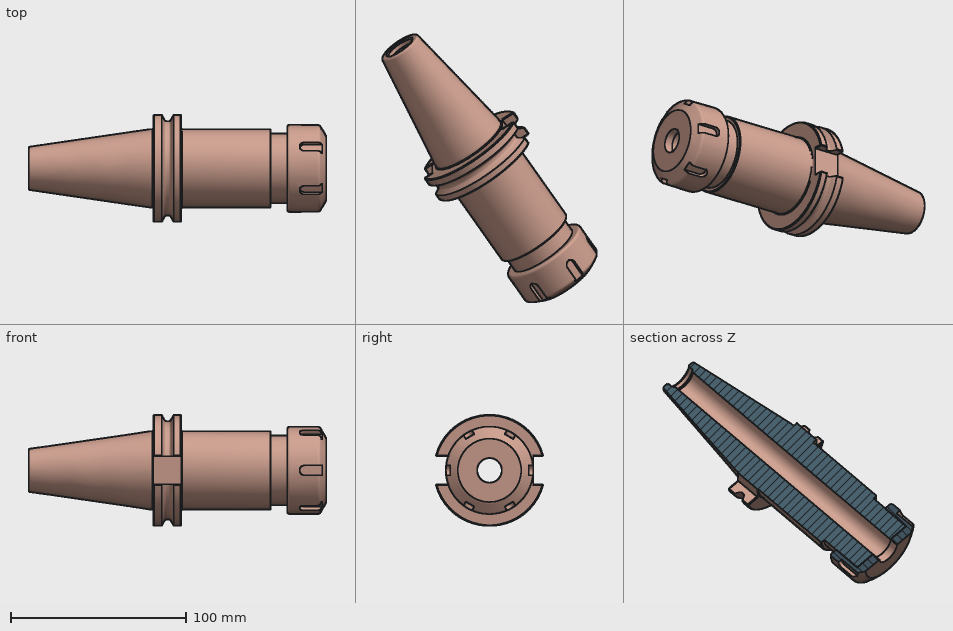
import cadquery as cq
import math

TAPER_LENGTH = 69.3
FLANGE_START = 71.2
FLANGE_WIDTH = 16.0
FLANGE_END = FLANGE_START + FLANGE_WIDTH
SHANK_END = 138.3
NUT_START = 147.5
NECK_END = 164.8
TOTAL_LENGTH = 169.9

TAPER_SMALL_RADIUS = 24.6 / 2
TAPER_LARGE_RADIUS = 44.8 / 2
TAPER_TIP_FILLET = 1.2

SHANK_RADIUS = 44.8 / 2
SHANK_CHAMFER = 0.5
NECK_RADIUS = 40.0 / 2

FLANGE_RADIUS = 63.5 / 2
FLANGE_CHAMFER = 0.5
FLANGE_ROOT_FILLET = 0.5
DRIVE_SLOT_WIDTH = 16.1
DEEP_SLOT_FLOOR = 22.8
SHALLOW_SLOT_FLOOR = 25.0
GROOVE_CENTER = 79.3
GROOVE_MOUTH = 7.0
GROOVE_FLOOR_RADIUS = 56.2 / 2
GROOVE_WALL_ANGLE = 30.0
GROOVE_FILLET = 1.2

BORE_RADIUS = 14.0 / 2
COUNTERBORE_RADIUS = 16.3 / 2
COUNTERBORE_DEPTH = 3.5
COUNTERBORE_CHAMFER = 0.8
BORE_CONE_RADIUS = 16.0 / 2
BORE_CONE_LENGTH = 1.5

NUT_RADIUS = 50.0 / 2
NUT_BACK_FILLET = 1.5
NUT_SHOULDER = 166.0
NUT_SHOULDER_FILLET = 2.0
NUT_CONE_END_RADIUS = 38.4 / 2
NUT_FACE_RADIUS = 36.2 / 2
NUT_RIM_WIDTH = 0.5
WRENCH_SLOT_COUNT = 6
WRENCH_SLOT_WIDTH = 5.6
WRENCH_SLOT_START = 154.5
WRENCH_SLOT_FLOOR = 22.3


def revolve_about_x(profile):
    """Turn a closed XY profile, given as a workplane wire, about the X axis."""
    return profile.revolve(360, (0, 0, 0), (1, 0, 0))


def disc(start, end, radius):
    """Solid cylinder on the X axis between two axial positions."""
    return cq.Workplane("YZ").workplane(offset=start).circle(radius).extrude(end - start)


def make_core():
    """Taper, shank and neck without the flange."""
    taper = revolve_about_x(
        cq.Workplane("XY").polyline([
            (0, 0),
            (0, TAPER_SMALL_RADIUS),
            (TAPER_LENGTH, TAPER_LARGE_RADIUS),
            (TAPER_LENGTH, 0),
        ]).close()
    ).faces("<X").edges().fillet(TAPER_TIP_FILLET)
    collar = disc(TAPER_LENGTH, FLANGE_START, TAPER_LARGE_RADIUS)
    shank = disc(FLANGE_START, SHANK_END, SHANK_RADIUS).faces(">X").edges().chamfer(SHANK_CHAMFER)
    neck = disc(SHANK_END, NECK_END, NECK_RADIUS)
    return taper.union(collar).union(shank).union(neck)


def make_drive_slot(side, floor):
    """Cutter for a drive slot; side is +1 for the +Y slot and -1 for the -Y slot."""
    depth = FLANGE_RADIUS
    flange_center = FLANGE_START + FLANGE_WIDTH / 2
    return (
        cq.Workplane("XY")
        .box(FLANGE_WIDTH, depth, DRIVE_SLOT_WIDTH)
        .translate((flange_center, side * (floor + depth / 2), 0))
    )


def make_groove():
    """Ring cutter for the V groove, with rounded floor corners."""
    depth = FLANGE_RADIUS - GROOVE_FLOOR_RADIUS
    half_mouth = GROOVE_MOUTH / 2
    half_floor = half_mouth - depth * math.tan(math.radians(GROOVE_WALL_ANGLE))
    ring = revolve_about_x(
        cq.Workplane("XY").polyline([
            (GROOVE_CENTER - half_mouth, FLANGE_RADIUS),
            (GROOVE_CENTER - half_floor, GROOVE_FLOOR_RADIUS),
            (GROOVE_CENTER + half_floor, GROOVE_FLOOR_RADIUS),
            (GROOVE_CENTER + half_mouth, FLANGE_RADIUS),
        ]).close()
    )
    floor_edges = cq.selectors.RadiusNthSelector(0)
    return ring.edges(floor_edges).fillet(GROOVE_FILLET)


def make_flange():
    """Disc with two chamfered drive slots and the V groove."""
    flange = disc(FLANGE_START, FLANGE_END, FLANGE_RADIUS)
    flange = flange.cut(make_drive_slot(1, SHALLOW_SLOT_FLOOR))
    flange = flange.cut(make_drive_slot(-1, DEEP_SLOT_FLOOR))
    flange = flange.edges().filter(is_exposed_flange_edge).chamfer(FLANGE_CHAMFER)
    return flange.cut(make_groove())


def is_exposed_flange_edge(edge):
    """True for the rim arcs and slot-wall edges, false for the edges of the slot floors."""
    ends = [edge.startPoint(), edge.endPoint()]
    return any(math.hypot(p.y, p.z) > FLANGE_RADIUS - FLANGE_CHAMFER for p in ends)


def make_root_fillet(face, outward, radius):
    """Ring filling the corner between a flange face and the round section next to it."""
    size = FLANGE_ROOT_FILLET
    bend = size * (1 - math.sqrt(0.5))
    return revolve_about_x(
        cq.Workplane("XY")
        .moveTo(face, radius - size)
        .lineTo(face, radius + size)
        .threePointArc((face + outward * bend, radius + bend), (face + outward * size, radius))
        .lineTo(face + outward * size, radius - size)
        .close()
    )


def make_bore():
    """Stepped through-bore cutter, widest at the taper tip."""
    cone_end = COUNTERBORE_DEPTH + BORE_CONE_LENGTH
    return revolve_about_x(
        cq.Workplane("XY").polyline([
            (0, 0),
            (0, COUNTERBORE_RADIUS + COUNTERBORE_CHAMFER),
            (COUNTERBORE_CHAMFER, COUNTERBORE_RADIUS),
            (COUNTERBORE_DEPTH, COUNTERBORE_RADIUS),
            (COUNTERBORE_DEPTH, BORE_CONE_RADIUS),
            (cone_end, BORE_RADIUS),
            (TOTAL_LENGTH, BORE_RADIUS),
            (TOTAL_LENGTH, 0),
        ]).close()
    )


def make_holder():
    """Holder body: taper, flange, shank and neck, bored through."""
    holder = make_core().union(make_flange())
    holder = holder.union(make_root_fillet(FLANGE_START, -1, TAPER_LARGE_RADIUS))
    holder = holder.union(make_root_fillet(FLANGE_END, 1, SHANK_RADIUS))
    return holder.cut(make_bore())


def make_wrench_slot(angle):
    """Round-ended, flat-floored cutter running out of the nut's front end."""
    half_width = WRENCH_SLOT_WIDTH / 2
    end_center = WRENCH_SLOT_START + half_width
    return (
        cq.Workplane("XY")
        .workplane(offset=WRENCH_SLOT_FLOOR)
        .moveTo(TOTAL_LENGTH, half_width)
        .lineTo(end_center, half_width)
        .threePointArc((WRENCH_SLOT_START, 0), (end_center, -half_width))
        .lineTo(TOTAL_LENGTH, -half_width)
        .close()
        .extrude(NUT_RADIUS)
        .rotate((0, 0, 0), (1, 0, 0), angle)
    )


def make_nut():
    """Cap nut with a conical front, wrench slots and a socket for the neck."""
    nut = revolve_about_x(
        cq.Workplane("XY").polyline([
            (NUT_START, 0),
            (NUT_START, NUT_RADIUS),
            (NUT_SHOULDER, NUT_RADIUS),
            (TOTAL_LENGTH - NUT_RIM_WIDTH, NUT_CONE_END_RADIUS),
            (TOTAL_LENGTH, NUT_FACE_RADIUS),
            (TOTAL_LENGTH, 0),
        ]).close()
    )
    nut = nut.faces("<X").edges().fillet(NUT_BACK_FILLET)
    largest_circles = cq.selectors.RadiusNthSelector(-1)
    nut = nut.edges(largest_circles).edges(">X").fillet(NUT_SHOULDER_FILLET)
    slot_spacing = 360 / WRENCH_SLOT_COUNT
    for index in range(WRENCH_SLOT_COUNT):
        nut = nut.cut(make_wrench_slot((index + 0.5) * slot_spacing))
    nut = nut.cut(disc(NUT_START, NECK_END, NECK_RADIUS))
    return nut.cut(make_bore())


holder = make_holder()
nut = make_nut()

result = cq.Compound.makeCompound([holder.solids().val(), nut.solids().val()])